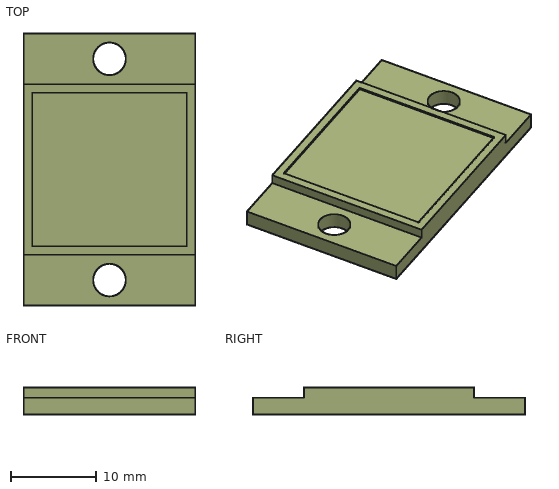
import cadquery as cq

plate_width = 20.2
plate_length = 32.0
plate_thickness = 2.0

pad_length = 20.0
total_height = 3.2
pad_height = total_height - plate_thickness

rim_width = 1.0
recess_depth = 0.2
recess_width = plate_width - 2 * rim_width
recess_length = pad_length - 2 * rim_width

hole_diameter = 3.8
hole_spacing = 26.0


def make_plate():
    """Flat base plate resting on Z = 0."""
    return cq.Workplane("XY").box(
        plate_width, plate_length, plate_thickness, centered=(True, True, False)
    )


def add_pad(body):
    """Raise the central pad above the plate."""
    pad = (
        cq.Workplane("XY")
        .workplane(offset=plate_thickness)
        .rect(plate_width, pad_length)
        .extrude(pad_height)
    )
    return body.union(pad)


def cut_recess(body):
    """Sink a shallow rectangle into the pad, leaving an even rim."""
    recess = (
        cq.Workplane("XY")
        .workplane(offset=total_height - recess_depth)
        .rect(recess_width, recess_length)
        .extrude(recess_depth)
    )
    return body.cut(recess)


def cut_holes(body):
    """Drill the mounting holes through both ends of the plate."""
    holes = (
        cq.Workplane("XY")
        .pushPoints([(0, -hole_spacing / 2), (0, hole_spacing / 2)])
        .circle(hole_diameter / 2)
        .extrude(plate_thickness)
    )
    return body.cut(holes)


result = cut_holes(cut_recess(add_pad(make_plate())))